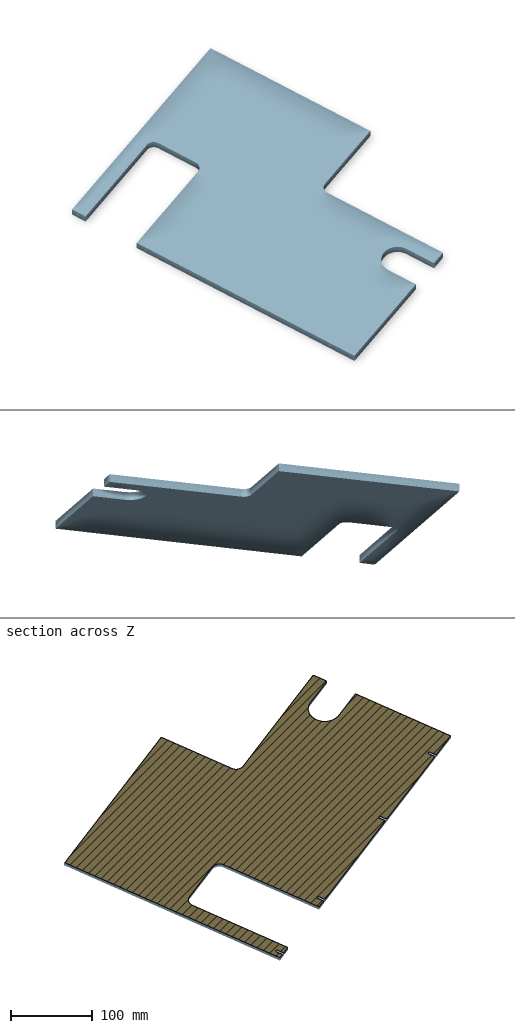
import cadquery as cq

length = 415.0
width = 305.0
thickness = 10.0

strip_width = 20.0
corner_radius = 10.0

front_cutout_width = 75.0
front_cutout_depth = 145.2

step_start_x = 235.0
step_depth = 110.0
step_y = width - step_depth

slot_width = 40.0
slot_depth = 60.0
slot_radius = slot_width / 2

pin_diameter = 2.45
pin_depth = 10.0
pin_height = 5.5
pin_positions = [8.0, 108.0, 257.7, 377.5]


def make_plate():
    """Full plate with the rear right corner stepped back."""
    return (
        cq.Workplane("XY")
        .moveTo(0, 0)
        .lineTo(length, 0)
        .lineTo(length, step_y)
        .lineTo(step_start_x + corner_radius, step_y)
        .radiusArc((step_start_x, step_y + corner_radius), corner_radius)
        .lineTo(step_start_x, width)
        .lineTo(0, width)
        .close()
        .extrude(thickness)
    )


def make_front_cutout():
    """Cutter for the front cutout, rounded at its two inner corners."""
    return (
        cq.Workplane("XY")
        .rect(front_cutout_width, front_cutout_depth, centered=False)
        .extrude(thickness)
        .edges("|Z and >Y")
        .fillet(corner_radius)
        .translate((strip_width, 0, 0))
    )


def make_side_slot():
    """Cutter for the slot with a semicircular inner end."""
    bottom_y = step_y - strip_width - slot_width
    top_y = bottom_y + slot_width
    inner_x = length - slot_depth
    arc_x = inner_x + slot_radius
    return (
        cq.Workplane("XY")
        .moveTo(length, bottom_y)
        .lineTo(arc_x, bottom_y)
        .threePointArc((inner_x, bottom_y + slot_radius), (arc_x, top_y))
        .lineTo(length, top_y)
        .close()
        .extrude(thickness)
    )


def make_pin_holes():
    """Cutters for the pin holes, drilled rearward just above mid thickness."""
    return (
        cq.Workplane("XZ")
        .pushPoints([(x, pin_height) for x in pin_positions])
        .circle(pin_diameter / 2)
        .extrude(-pin_depth)
    )


result = make_plate().cut(make_front_cutout()).cut(make_side_slot()).cut(make_pin_holes())